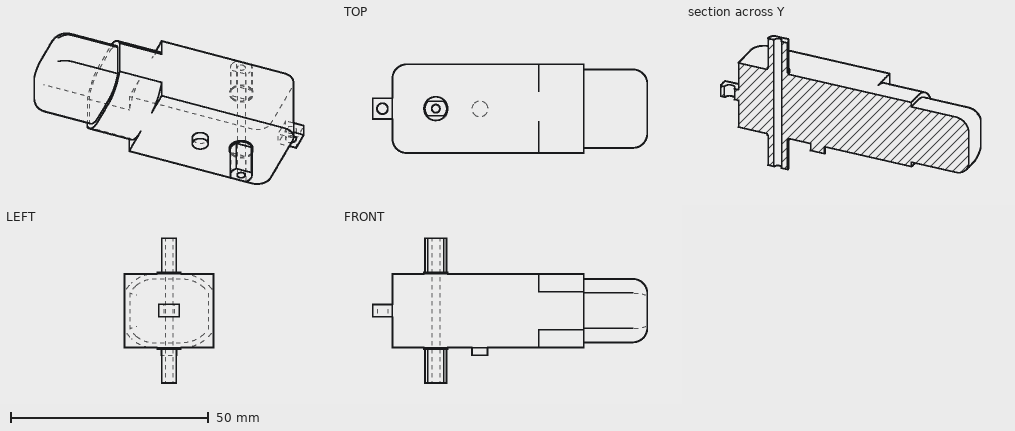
import cadquery as cq
import math

housing_width = 22.5
housing_height = 18.65
block_length = 37.0
housing_length = 48.4
housing_corner_radius = 3.7
housing_far_flat_y = 4.45

motor_width = 19.9
motor_height = 16.1
motor_length = 16.1
motor_end_radius = 3.75
motor_far_flat_y = 4.25

near_flat_y = 3.25
far_arc_sweep = math.radians(58)

tab_length = 5.0
tab_width = 5.3
tab_height = 3.2
tab_hole_diameter = 2.7

shaft_x = 11.0
shaft_diameter = 5.5
shaft_flat_distance = 3.7
shaft_projection = 9.0
shaft_hole_diameter = 2.0
collar_diameter = 6.0
collar_height = 0.4

peg_x = 22.1
peg_diameter = 4.0
peg_height = 2.0

shaft_length = housing_height + 2 * shaft_projection


def add_corner_arc(outline, start, end, sweep):
    """Continue the outline along a clockwise arc that turns through the given angle."""
    chord = math.dist(start, end)
    radius = chord / (2 * math.sin(sweep / 2))
    return outline.radiusArc(end, radius)


def rounded_bar(width, height, far_flat_y, start_x, length):
    """Bar along X with flat sides, flat top and bottom, and an arc at each corner.

    The -Y arcs are centered at mid-height and tangent to the top and bottom.
    The +Y arcs are tighter and meet the top and bottom at a slight edge.
    All four arcs meet the sides at the same height above and below the middle.
    """
    half_width = width / 2
    half_height = height / 2
    side_z = math.sqrt(half_height**2 - (half_width - near_flat_y) ** 2)
    near_sweep = math.acos(side_z / half_height)

    far_top = (far_flat_y, half_height)
    far_side_top = (half_width, side_z)
    far_side_bottom = (half_width, -side_z)
    far_bottom = (far_flat_y, -half_height)
    near_bottom = (-near_flat_y, -half_height)
    near_side_bottom = (-half_width, -side_z)
    near_side_top = (-half_width, side_z)
    near_top = (-near_flat_y, half_height)

    outline = cq.Workplane("YZ", origin=(start_x, 0, 0)).moveTo(*near_top).lineTo(*far_top)
    outline = add_corner_arc(outline, far_top, far_side_top, far_arc_sweep)
    outline = outline.lineTo(*far_side_bottom)
    outline = add_corner_arc(outline, far_side_bottom, far_bottom, far_arc_sweep)
    outline = outline.lineTo(*near_bottom)
    outline = add_corner_arc(outline, near_bottom, near_side_bottom, near_sweep)
    outline = outline.lineTo(*near_side_top)
    outline = add_corner_arc(outline, near_side_top, near_top, near_sweep)
    return outline.close().extrude(length)


def upright_cylinder(x, diameter, bottom_z, height):
    return cq.Workplane("XY", origin=(x, 0, bottom_z)).circle(diameter / 2).extrude(height)


def make_housing():
    block = (
        cq.Workplane("XY")
        .box(block_length, housing_width, housing_height, centered=(False, True, True))
        .edges("|Z and <X")
        .fillet(housing_corner_radius)
    )
    rear_length = housing_length - block_length
    rear = rounded_bar(housing_width, housing_height, housing_far_flat_y, block_length, rear_length)
    return block.union(rear)


def make_motor():
    motor = rounded_bar(motor_width, motor_height, motor_far_flat_y, housing_length, motor_length)
    return motor.faces(">X").edges().fillet(motor_end_radius)


def make_tab():
    tab = cq.Workplane("XY").box(tab_length, tab_width, tab_height).translate((-tab_length / 2, 0, 0))
    hole = upright_cylinder(-tab_length / 2, tab_hole_diameter, -tab_height / 2, tab_height)
    return tab.cut(hole)


def make_shaft():
    rod = upright_cylinder(shaft_x, shaft_diameter, -shaft_length / 2, shaft_length)
    flats = (
        cq.Workplane("XY")
        .box(shaft_diameter, shaft_flat_distance, shaft_length)
        .translate((shaft_x, 0, 0))
    )
    collar_span = housing_height + 2 * collar_height
    collars = upright_cylinder(shaft_x, collar_diameter, -collar_span / 2, collar_span)
    return rod.intersect(flats).union(collars)


peg = upright_cylinder(peg_x, peg_diameter, -housing_height / 2 - peg_height, peg_height)
shaft_hole = upright_cylinder(shaft_x, shaft_hole_diameter, -shaft_length / 2, shaft_length)

result = (
    make_housing()
    .union(make_motor())
    .union(make_tab())
    .union(make_shaft())
    .union(peg)
    .cut(shaft_hole)
)